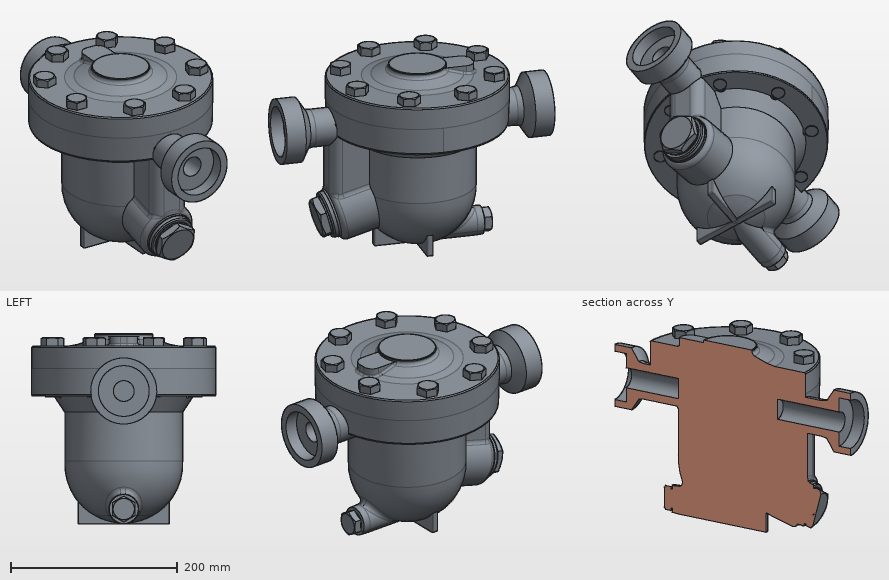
import cadquery as cq
import math


bottom_z = -160.0
top_z = 68.9

flange_radius = 222.0 / 2
flange_top_z = 54.0
flange_joint_z = 27.0
flange_bottom_z = -6.0
flange_bottom_x_radius = 109.5
flange_chamfer = 1.5
flange_bottom_chamfer_height = 1.8
flange_bottom_chamfer_inset = 0.8

body_radius = 71.0
shoulder_radius = 84.0
shoulder_bottom_z = -25.5
bowl_top_z = -84.5
bowl_bottom_z = -159.0

dome_radius = 67.5
dome_blend_radius = 56.0
dome_blend_z = 56.0
boss_radius = 70.0 / 2
boss_foot_z = 63.0
boss_edge = 1.0
boss_foot_fillet = 5.0
lug_top_z = 65.6
lug_tip_x = -69.0
lug_width = 33.2
lug_corner_radius = 12.5
lug_foot_fillet = 3.0
lug_foot_fillet_top_z = 60.0

head_crown_ratio = 0.95
head_crown_angle = 30.0

bolt_count = 8
bolt_circle_radius = 93.0
bolt_first_angle = 22.5
bolt_flats = 24.0
bolt_head_height = 10.3
bolt_diameter = 16.0
bolt_end_z = -7.4
spotface_diameter = 21.0
spotface_depth = 10.0

port_length = 336.0
port_mid_x = 7.0
socket_outer_diameter = 79.5
socket_outer_length = 24.0
socket_bore_diameter = 61.1
socket_depth = 16.0
neck_cone_length = 10.3
neck_diameter = 48.5
neck_length = 7.0
pipe_diameter = 46.0
pipe_bore_diameter = 25.0

drain_diameter = 36.0
drain_z = bottom_z + drain_diameter / 2
drain_end_x = -79.5
drain_taper_x = -70.5
drain_end_diameter = 35.0
drain_fillet = 6.0
drain_fillet_bottom_z = -150.0
drain_plug_flats = 27.0
drain_plug_height = 10.0
drain_plug_gap = 1.2
drain_seat_diameter = 25.0

foot_reach = 55.0
foot_thickness = 7.6
foot_top_z = -120.0
foot_corner_fillet = 1.5
foot_side_fillet = 0.75

passage_end_x = 113.8
passage_top_z = 10.0
passage_width = 48.0
passage_corner_radius = 13.0
passage_outer_z = -85.0

holder_tilt = 15.0
holder_axis_x = 61.5
holder_axis_z = -100.1
holder_diameter = 72.0
holder_start = -45.0
holder_length = 47.0
holder_edge_fillet = 7.0
holder_passage_fillet = 8.0
gasket_diameter = 60.0
gasket_end = 49.5
cap_flange_diameter = 58.0
cap_flange_end = 56.0
cap_flange_chamfer = 2.0
cap_neck_diameter = 49.5
cap_head_start = 58.0
cap_head_height = 10.0
cap_flats = 46.0


def seam_edges(joined, first, second):
    """Edges of the joined solid along which the two original solids meet."""
    tolerance = 1e-4
    seams = []
    for edge in joined.edges().vals():
        middle = cq.Vertex.makeVertex(*edge.positionAt(0.5).toTuple())
        gaps = (first.val().distance(middle), second.val().distance(middle))
        if max(gaps) < tolerance:
            seams.append(edge)
    return joined.newObject(seams)


def hexagon_head(flats, height):
    """Hexagonal head standing on z = 0 with its upper corners turned off conically."""
    corner_radius = flats / 2 / math.cos(math.pi / 6)
    crown_radius = flats / 2 * head_crown_ratio
    corner_drop = (corner_radius - crown_radius) * math.tan(math.radians(head_crown_angle))
    head = cq.Workplane("XY").polygon(6, 2 * corner_radius).extrude(height)
    profile = [
        (0, 0), (corner_radius, 0), (corner_radius, height - corner_drop),
        (crown_radius, height), (0, height),
    ]
    turned = cq.Workplane("XZ").polyline(profile).close().revolve(360, (0, 0, 0), (0, 1, 0))
    return head.intersect(turned)


def make_body():
    bowl_depth = bowl_top_z - bowl_bottom_z
    bowl_radius = (body_radius**2 + bowl_depth**2) / (2 * bowl_depth)
    outline = (
        cq.Workplane("XZ")
        .moveTo(0, flange_bottom_z)
        .lineTo(shoulder_radius, flange_bottom_z)
        .lineTo(body_radius, shoulder_bottom_z)
        .lineTo(body_radius, bowl_top_z)
        .radiusArc((0, bowl_bottom_z), bowl_radius)
        .close()
    )
    return outline.revolve(360, (0, 0, 0), (0, 1, 0))


def make_cover():
    disc = (
        cq.Workplane("XY", origin=(0, 0, flange_joint_z))
        .circle(flange_radius)
        .extrude(flange_top_z - flange_joint_z)
        .faces(">Z").edges().chamfer(flange_chamfer)
    )
    dome_outline = (
        cq.Workplane("XZ")
        .moveTo(0, flange_top_z)
        .lineTo(dome_radius, flange_top_z)
        .lineTo(dome_blend_radius, dome_blend_z)
        .lineTo(boss_radius, boss_foot_z)
        .lineTo(0, boss_foot_z)
        .close()
    )
    dome = dome_outline.revolve(360, (0, 0, 0), (0, 1, 0))
    boss = (
        cq.Workplane("XY", origin=(0, 0, flange_top_z))
        .circle(boss_radius).extrude(top_z - flange_top_z)
        .faces(">Z").edges().chamfer(boss_edge)
    )
    lug = (
        cq.Workplane("XY", origin=(lug_tip_x / 2, 0, flange_joint_z))
        .rect(-lug_tip_x, lug_width).extrude(lug_top_z - flange_joint_z)
        .edges("|Z and <X").fillet(lug_corner_radius)
    )
    plate = disc.union(dome)
    cover = plate.union(boss)
    cover = seam_edges(cover, plate, boss).fillet(boss_foot_fillet)
    cover_with_lug = cover.union(lug)
    lug_foot = seam_edges(cover_with_lug, cover, lug).filter(
        lambda edge: edge.Center().z < lug_foot_fillet_top_z
    )
    return lug_foot.fillet(lug_foot_fillet)


def make_body_flange():
    rim_z = flange_bottom_z + flange_bottom_chamfer_height
    return (
        cq.Workplane("XY", origin=(0, 0, flange_joint_z))
        .circle(flange_radius)
        .workplane(offset=rim_z - flange_joint_z)
        .ellipse(flange_bottom_x_radius, flange_radius)
        .workplane(offset=-flange_bottom_chamfer_height)
        .ellipse(
            flange_bottom_x_radius - flange_bottom_chamfer_inset,
            flange_radius - flange_bottom_chamfer_inset,
        )
        .loft(ruled=True)
    )


def on_bolt_circle(shape, index):
    angle = bolt_first_angle + index * 360 / bolt_count
    return shape.translate((bolt_circle_radius, 0, 0)).rotate((0, 0, 0), (0, 0, 1), angle)


def make_bolt():
    head = hexagon_head(bolt_flats, bolt_head_height).translate((0, 0, flange_top_z))
    head = head.rotate((0, 0, 0), (0, 0, 1), -bolt_first_angle)
    shank = (
        cq.Workplane("XY", origin=(0, 0, bolt_end_z))
        .circle(bolt_diameter / 2).extrude(flange_top_z - bolt_end_z)
    )
    return head.union(shank)


def make_spotface():
    return (
        cq.Workplane("XY", origin=(0, 0, flange_bottom_z))
        .circle(spotface_diameter / 2).extrude(-spotface_depth)
    )


def make_port(end_x):
    """Solid and bore of one port whose open end is at end_x; the bore ends at the body radius."""
    inward = -math.copysign(1, end_x)
    socket_end_x = end_x + inward * socket_outer_length
    cone_end_x = socket_end_x + inward * neck_cone_length
    neck_end_x = cone_end_x + inward * neck_length
    outline = [
        (0, 0), (end_x, 0), (end_x, socket_outer_diameter / 2), (socket_end_x, socket_outer_diameter / 2),
        (cone_end_x, neck_diameter / 2), (neck_end_x, pipe_diameter / 2), (0, pipe_diameter / 2),
    ]
    solid = cq.Workplane("XZ").polyline(outline).close().revolve(360, (0, 0, 0), (1, 0, 0))
    socket_floor_x = end_x + inward * socket_depth
    bore_end_x = -inward * body_radius
    bore_outline = [
        (bore_end_x, 0), (end_x, 0), (end_x, socket_bore_diameter / 2),
        (socket_floor_x, socket_bore_diameter / 2), (socket_floor_x, pipe_bore_diameter / 2),
        (bore_end_x, pipe_bore_diameter / 2),
    ]
    bore = cq.Workplane("XZ").polyline(bore_outline).close().revolve(360, (0, 0, 0), (1, 0, 0))
    return solid, bore


def make_drain_boss():
    outline = [
        (0, 0), (drain_end_x, 0), (drain_end_x, drain_end_diameter / 2),
        (drain_taper_x, drain_diameter / 2), (0, drain_diameter / 2),
    ]
    boss = cq.Workplane("XZ").polyline(outline).close().revolve(360, (0, 0, 0), (1, 0, 0))
    return boss.translate((0, 0, drain_z))


def make_drain_plug():
    seat = cq.Workplane("XY").circle(drain_seat_diameter / 2).extrude(drain_plug_gap)
    head = hexagon_head(drain_plug_flats, drain_plug_height).translate((0, 0, drain_plug_gap))
    return seat.union(head).rotate((0, 0, 0), (0, 1, 0), -90).translate((drain_end_x, 0, drain_z))


def make_foot(angle):
    foot = (
        cq.Workplane("XY", origin=(foot_reach / 2, 0, bottom_z))
        .rect(foot_reach, foot_thickness).extrude(foot_top_z - bottom_z)
        .faces(">X").edges("|Y").edges("<Z").fillet(foot_corner_fillet)
        .faces(">X").edges("|Z").fillet(foot_side_fillet)
    )
    return foot.rotate((0, 0, 0), (0, 0, 1), angle)


def make_passage():
    outline = [
        (0, passage_top_z), (0, holder_axis_z), (holder_axis_x, holder_axis_z),
        (passage_end_x, passage_outer_z), (passage_end_x, passage_top_z),
    ]
    return (
        cq.Workplane("XZ").polyline(outline).close()
        .extrude(passage_width / 2, both=True)
        .edges(">X and |Z").fillet(passage_corner_radius)
    )


def along_holder_axis(shape):
    return (
        shape.rotate((0, 0, 0), (0, 1, 0), 90 + holder_tilt)
        .translate((holder_axis_x, 0, holder_axis_z))
    )


def make_holder():
    barrel = (
        cq.Workplane("XY", origin=(0, 0, holder_start))
        .circle(holder_diameter / 2).extrude(holder_length - holder_start)
        .faces(">Z").edges().fillet(holder_edge_fillet)
    )
    return along_holder_axis(barrel)


def make_holder_cap():
    gasket = cq.Workplane("XY").circle(gasket_diameter / 2).extrude(gasket_end)
    flange = (
        cq.Workplane("XY").circle(cap_flange_diameter / 2).extrude(cap_flange_end)
        .faces(">Z").edges().chamfer(cap_flange_chamfer, cap_flange_chamfer / 2)
    )
    neck = cq.Workplane("XY").circle(cap_neck_diameter / 2).extrude(cap_head_start)
    head = hexagon_head(cap_flats, cap_head_height).translate((0, 0, cap_head_start))
    return along_holder_axis(gasket.union(flange).union(neck).union(head))


def make_vessel():
    """Body with its drain boss, rounded where they meet down to where the two run almost tangent."""
    body = make_body()
    drain_boss = make_drain_boss()
    section = cq.Workplane("XY", origin=(0, 0, drain_fillet_bottom_z)).circle(flange_radius)
    upper_space = section.extrude(-drain_fillet_bottom_z, combine=False)
    lower_space = upper_space.mirror("XY", (0, 0, drain_fillet_bottom_z))
    upper_body = body.intersect(upper_space)
    upper_boss = drain_boss.intersect(upper_space)
    upper = upper_body.union(upper_boss)
    seams = seam_edges(upper, upper_body, upper_boss).filter(
        lambda edge: edge.Center().z > drain_fillet_bottom_z + drain_fillet / 2
    )
    lower = body.union(drain_boss).intersect(lower_space)
    return lower.union(seams.fillet(drain_fillet))


def make_strainer_side():
    passage = make_passage()
    holder = make_holder()
    joined = passage.union(holder)
    return seam_edges(joined, passage, holder).fillet(holder_passage_fillet)


def make_trap():
    trap = make_vessel().union(make_body_flange()).union(make_strainer_side())
    for index in range(bolt_count):
        trap = trap.cut(on_bolt_circle(make_spotface(), index))
    trap = trap.union(make_cover())
    for index in range(bolt_count):
        trap = trap.union(on_bolt_circle(make_bolt(), index))
    for foot_angle in (-90, 0, 90):
        trap = trap.union(make_foot(foot_angle))
    trap = trap.union(make_drain_plug()).union(make_holder_cap())
    left_port, left_bore = make_port(port_mid_x - port_length / 2)
    right_port, right_bore = make_port(port_mid_x + port_length / 2)
    return trap.union(left_port).union(right_port).cut(left_bore).cut(right_bore)


result = make_trap()